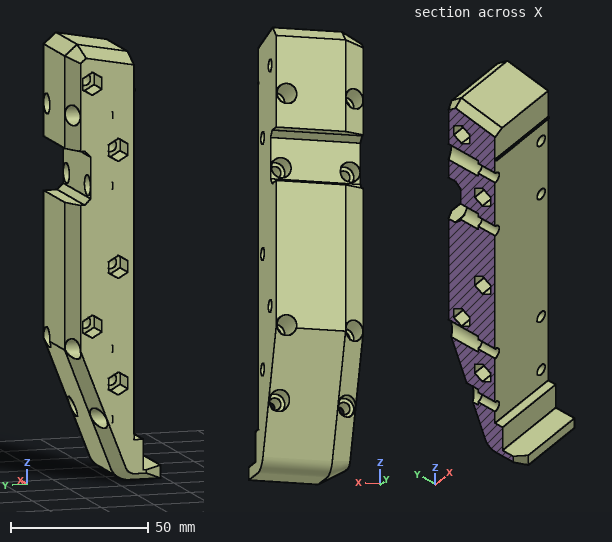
import cadquery as cq
import math

width = 34.0
height = 162.0
back_y = 24.0
lip_y = -12.5

top_back_z = 158.0
top_peak_y = 19.3
top_front_z = 158.4
slope_top_z = 49.2
foot_corner_y = 4.7
foot_radius = 7.3
step_y = -3.5
step_z = 16.2
lip_thickness = 4.9

bevel_width = 7.8
bevel_angle = 25.0
lip_chamfer = 7.8

notch_bottom_z = 103.8
notch_top_z = 123.8
notch_depth = 7.5
notch_chamfer = 2.3

ridge_z = 145.5
ridge_size = 0.5

hole_diameter = 4.5
counterbore_diameter = 7.5
counterbore_floor_y = 8.1
screw_x = (3.9, 30.0)
screw_z = (24.1, 50.2, 110.5, 136.5)

nut_across_flats = 7.3
nut_depth = 9.7
nut_back_y = 15.9
nut_front_y = 6.0
nut_places = (
    (nut_back_y, 148.5),
    (nut_front_y, 123.6),
    (nut_front_y, 80.3),
    (nut_back_y, 58.8),
    (nut_front_y, 37.3),
)


def side_plane(x):
    """Plane across X, with local axes along Y and Z."""
    return cq.Workplane("YZ", origin=(x, 0, 0))


def rim_outline(x):
    """Back, top and foot outline, carried past the lip so that only its rim gets bevelled."""
    front_y = lip_y - bevel_width
    top_drop = (height - top_front_z) / top_peak_y
    slope_length = math.hypot(back_y - foot_corner_y, slope_top_z)
    along_y = (back_y - foot_corner_y) / slope_length
    along_z = slope_top_z / slope_length
    turn = math.atan2(along_z, along_y)
    tangent_length = foot_radius * math.tan(turn / 2)
    arc_flat_y = foot_corner_y - tangent_length
    arc_middle = (
        arc_flat_y + foot_radius * math.sin(turn / 2),
        foot_radius * (1 - math.cos(turn / 2)),
    )
    arc_slope = (foot_corner_y + tangent_length * along_y, tangent_length * along_z)
    return (
        side_plane(x)
        .moveTo(front_y, 0)
        .lineTo(arc_flat_y, 0)
        .threePointArc(arc_middle, arc_slope)
        .lineTo(back_y, slope_top_z)
        .lineTo(back_y, top_back_z)
        .lineTo(top_peak_y, height)
        .lineTo(front_y, height - top_drop * (top_peak_y - front_y))
        .close()
    )


def front_envelope():
    """Solid whose front has the plate, the step and the lip with its cut corner."""
    envelope = (
        side_plane(0)
        .moveTo(lip_y, 0)
        .lineTo(back_y, 0)
        .lineTo(back_y, height)
        .lineTo(0, height)
        .lineTo(0, step_z)
        .lineTo(step_y, step_z)
        .lineTo(step_y, lip_thickness)
        .lineTo(lip_y, lip_thickness)
        .close()
        .extrude(width)
    )
    corner = (
        cq.Workplane("XY")
        .moveTo(0, lip_y)
        .lineTo(lip_chamfer, lip_y)
        .lineTo(0, lip_y + lip_chamfer)
        .close()
        .extrude(lip_thickness)
    )
    return envelope.cut(corner)


def make_body():
    straight = rim_outline(bevel_width).extrude(width - bevel_width)
    bevelled = rim_outline(bevel_width).extrude(-bevel_width, taper=bevel_angle)
    return straight.union(bevelled).intersect(front_envelope())


def make_ridge():
    ridge = cq.Workplane("XY").box(width, 2 * ridge_size, ridge_size, centered=(False, True, True))
    return ridge.translate((0, 0, ridge_z))


def make_notch():
    floor_y = back_y - notch_depth
    shoulder_y = floor_y + notch_chamfer
    return (
        side_plane(0)
        .moveTo(back_y, notch_bottom_z)
        .lineTo(shoulder_y, notch_bottom_z)
        .lineTo(floor_y, notch_bottom_z + notch_chamfer)
        .lineTo(floor_y, notch_top_z - notch_chamfer)
        .lineTo(shoulder_y, notch_top_z)
        .lineTo(back_y, notch_top_z)
        .close()
        .extrude(width)
    )


def make_screw_holes():
    places = [(x, z) for x in screw_x for z in screw_z]
    holes = cq.Workplane("XZ").pushPoints(places).circle(hole_diameter / 2).extrude(-back_y)
    counterbores = (
        cq.Workplane("XZ", origin=(0, counterbore_floor_y, 0))
        .pushPoints(places)
        .circle(counterbore_diameter / 2)
        .extrude(counterbore_floor_y - back_y)
    )
    return holes.union(counterbores)


def make_nut_holes():
    holes = side_plane(0).pushPoints(nut_places).circle(hole_diameter / 2).extrude(width)
    across_corners = nut_across_flats / math.cos(math.pi / 6)
    hexagon = cq.Sketch().regularPolygon(across_corners / 2, 6)
    pockets = side_plane(0).pushPoints(nut_places).placeSketch(hexagon).extrude(nut_depth)
    return holes.union(pockets)


result = (
    make_body()
    .union(make_ridge())
    .cut(make_notch())
    .cut(make_screw_holes())
    .cut(make_nut_holes())
)